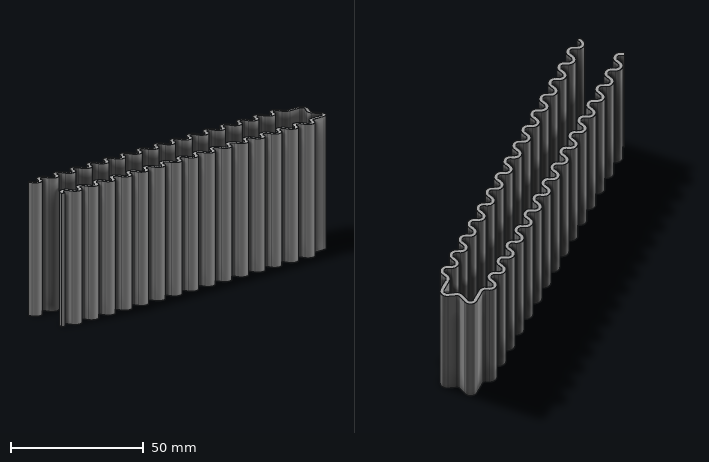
import cadquery as cq
import math

length = 138.3
width = 23.0
height = 53.0

thickness = 1.5
half_thickness = thickness / 2

wave_count = 15
leg_gap = 12.0
wave_run = 123.3
wave_depth = (width - leg_gap) / 2 - thickness
half_pitch = wave_run / (2 * wave_count - 1)
bend_radius = wave_depth / 2
wave_angle = math.asin(wave_depth / half_pitch)
wave_straight = math.sqrt(half_pitch**2 - wave_depth**2)

valley_angle = math.radians(30)
shoulder_x = leg_gap / 2 + half_thickness - bend_radius
valley_straight = (shoulder_x - 2 * bend_radius * math.sin(valley_angle)) / math.cos(valley_angle)
valley_drop = 2 * bend_radius * (1 - math.cos(valley_angle)) + valley_straight * math.sin(valley_angle)
valley_y = length / 2 - half_thickness - valley_drop

tail_run = (bend_radius + half_thickness) * math.sin(wave_angle) + wave_straight * math.cos(wave_angle)
first_crest_drop = length - wave_run - tail_run
wall_straight = first_crest_drop - half_pitch - bend_radius - half_thickness

valley_and_wall = [
    (0, valley_angle),
    (valley_straight, -valley_angle - math.pi / 2),
    (wall_straight, wave_angle),
]
one_wave = [
    (wave_straight, -2 * wave_angle),
    (wave_straight, 2 * wave_angle),
]
free_end = [(wave_straight, 0)]
half_strip = valley_and_wall + one_wave * wave_count + free_end


def point_left_of(point, heading, distance):
    """Point a given distance to the left of a heading; a negative distance goes right."""
    return (point[0] - distance * math.sin(heading), point[1] + distance * math.cos(heading))


def strip_face(offset):
    """One face of the half strip, as edges running from the valley to the free end.

    The offset is the distance of the face to the left of the middle line.
    """
    position = (0.0, valley_y)
    heading = 0.0
    face_point = cq.Vector(*point_left_of(position, heading, offset))
    edges = []
    for straight, bend in half_strip:
        if straight:
            position = (
                position[0] + straight * math.cos(heading),
                position[1] + straight * math.sin(heading),
            )
            line_end = cq.Vector(*point_left_of(position, heading, offset))
            edges.append(cq.Edge.makeLine(face_point, line_end))
            face_point = line_end
        if bend:
            to_center = math.copysign(bend_radius, bend)
            center = point_left_of(position, heading, to_center)
            arc_middle = cq.Vector(*point_left_of(center, heading + bend / 2, offset - to_center))
            heading += bend
            position = point_left_of(center, heading, -to_center)
            arc_end = cq.Vector(*point_left_of(position, heading, offset))
            edges.append(cq.Edge.makeThreePointArc(face_point, arc_middle, arc_end))
            face_point = arc_end
    return edges


outer_face = strip_face(half_thickness)
inner_face = strip_face(-half_thickness)
valley_edge = cq.Edge.makeLine(inner_face[0].startPoint(), outer_face[0].startPoint())
free_edge = cq.Edge.makeLine(outer_face[-1].endPoint(), inner_face[-1].endPoint())
outline = cq.Wire.assembleEdges([valley_edge] + outer_face + [free_edge] + inner_face[::-1])

right_half = cq.Workplane("XY").add(outline).toPending().extrude(height)
result = right_half.union(right_half.mirror("YZ"), clean=True)